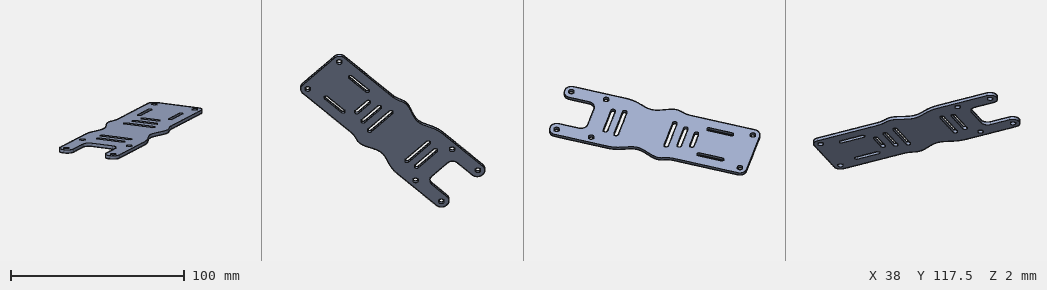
import cadquery as cq

length = 117.5
thickness = 2.0
half_width = 19.0
top_y = length / 2
bottom_y = -length / 2
corner_radius = 4.0

upper_half_width = 17.2
waist_half_width = 15.0
upper_body_end_y = 16.1
bulge_y = 7.3
waist_y = -6.3
lower_body_start_y = -23.3

notch_half_width = 10.5
notch_top_y = -38.7

hole_diameter = 3.2
upper_hole_x = 13.0
leg_hole_x = half_width - corner_radius
hole_places = [
    (upper_hole_x, top_y - corner_radius),
    (leg_hole_x, -34.0),
    (leg_hole_x, bottom_y + corner_radius),
]

cross_slot_width = 2.6
cross_slots = [(12.0, 23.4), (16.0, 16.3), (20.0, 9.2), (20.0, -20.9), (18.0, -27.6)]

long_slot_width = 2.2
long_slot_length = 16.0
long_slot_x = 10.0
long_slot_y = 36.1


def half_plate():
    """Right half of the plate, with square corners."""
    side = [
        (upper_half_width, upper_body_end_y),
        (half_width, bulge_y),
        (waist_half_width, waist_y),
        (half_width, lower_body_start_y),
    ]
    sketch = cq.Workplane("XY").moveTo(0, top_y).lineTo(upper_half_width, top_y).lineTo(*side[0])
    along_y = (0, -1)
    return (
        sketch.spline(side[1:], tangents=[along_y] * len(side), includeCurrent=True)
        .lineTo(half_width, bottom_y)
        .lineTo(notch_half_width, bottom_y)
        .lineTo(notch_half_width, notch_top_y)
        .lineTo(0, notch_top_y)
        .close()
        .extrude(thickness)
    )


def round_corners(half):
    """Round the top corner, both corners of the leg and the notch corner."""
    corners = [
        (upper_half_width, top_y),
        (half_width, bottom_y),
        (notch_half_width, bottom_y),
        (notch_half_width, notch_top_y),
    ]
    for x, y in corners:
        nearest = cq.selectors.NearestToPointSelector((x, y, thickness / 2))
        half = half.edges(nearest).fillet(corner_radius)
    return half


def cut_holes(plate):
    places = [(side * x, y) for x, y in hole_places for side in (-1, 1)]
    holes = cq.Workplane("XY").pushPoints(places).circle(hole_diameter / 2).extrude(thickness)
    return plate.cut(holes)


def cut_slots(plate):
    for slot_length, y in cross_slots:
        slot = cq.Workplane("XY").center(0, y).slot2D(slot_length, cross_slot_width).extrude(thickness)
        plate = plate.cut(slot)
    long_slots = (
        cq.Workplane("XY")
        .pushPoints([(-long_slot_x, long_slot_y), (long_slot_x, long_slot_y)])
        .slot2D(long_slot_length, long_slot_width, 90)
        .extrude(thickness)
    )
    return plate.cut(long_slots)


right_half = round_corners(half_plate())
plate = right_half.union(right_half.mirror("YZ")).clean()
result = cut_slots(cut_holes(plate))